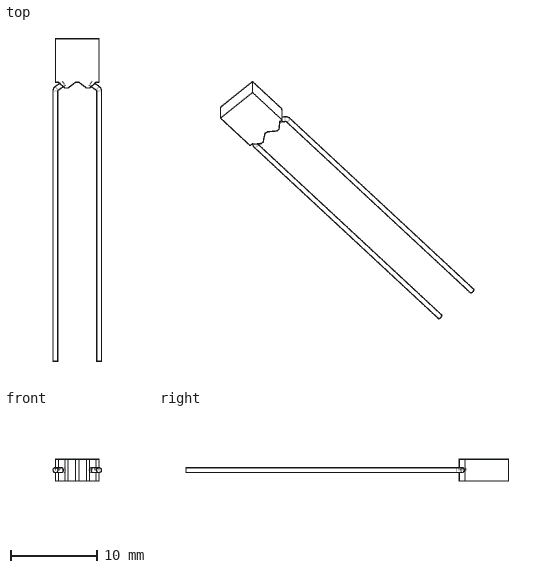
import cadquery as cq
import math


BODY_WIDTH = 5.08
BODY_THICKNESS = 2.54
BODY_LENGTH = 5.74
FOOT_HEIGHT = 0.68
SHOULDER_WIDTH = 0.34
FOOT_FLAT_INNER = 1.08
FOOT_FLAT_OUTER = 1.42
NOTCH_FLAT_HALF = 0.18

OVERALL_LENGTH = 37.49
LEAD_SPACING = 5.08
LEAD_DIAMETER = 0.58
BEND_ANGLE = 55.0
BEND_RADIUS = 0.38
BEND_START = 6.07
ROOT_LENGTH = 1.0

REAR_Y = BODY_LENGTH
FRONT_Y = FOOT_HEIGHT
LEAD_TIP_Y = REAR_Y - OVERALL_LENGTH
BEND_Y = REAR_Y - BEND_START


def make_body():
    half_width = BODY_WIDTH / 2
    right_side = [
        (NOTCH_FLAT_HALF, FRONT_Y),
        (FOOT_FLAT_INNER, 0),
        (FOOT_FLAT_OUTER, 0),
        (half_width - SHOULDER_WIDTH, FRONT_Y),
        (half_width, FRONT_Y),
        (half_width, REAR_Y),
    ]
    left_side = [(-x, y) for x, y in reversed(right_side)]
    outline = cq.Workplane("XY").polyline(right_side + left_side).close()
    return outline.extrude(BODY_THICKNESS / 2, both=True)


def make_lead(side):
    """One lead; side is +1 or -1 along X, and its upper end leans towards the middle plane."""
    axis_x = side * LEAD_SPACING / 2

    def bend_point(degrees):
        angle = math.radians(degrees)
        inward = BEND_RADIUS * (1 - math.cos(angle))
        return (axis_x - side * inward, BEND_Y + BEND_RADIUS * math.sin(angle))

    bend_end = bend_point(BEND_ANGLE)
    lean = math.radians(BEND_ANGLE)
    root_end = (
        bend_end[0] - side * ROOT_LENGTH * math.sin(lean),
        bend_end[1] + ROOT_LENGTH * math.cos(lean),
    )
    path = (
        cq.Workplane("XY")
        .moveTo(axis_x, LEAD_TIP_Y)
        .lineTo(axis_x, BEND_Y)
        .threePointArc(bend_point(BEND_ANGLE / 2), bend_end)
        .lineTo(*root_end)
    )
    section = cq.Workplane("XZ", origin=(axis_x, LEAD_TIP_Y, 0)).circle(LEAD_DIAMETER / 2)
    return section.sweep(path)


leads = [make_lead(side) for side in (-1, 1)]

body = make_body()
for lead in leads:
    body = body.cut(lead)

result = cq.Compound.makeCompound([body.val(), *[lead.val() for lead in leads]])